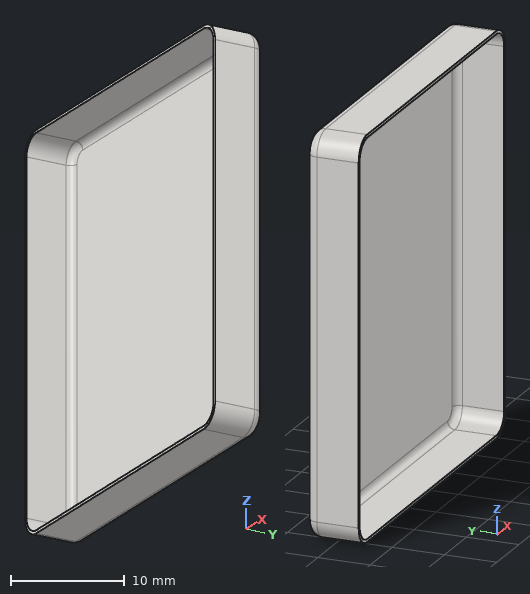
import cadquery as cq

width = 33.3
depth = 5.0
height = 38.15

wall = 0.3
corner_radius = 2.0
floor_edge_radius = 1.0


def rounded_block(inset):
    """Block inset from the outer skin on every side but the open one, its floor edge rounded."""
    block = cq.Workplane("XY").box(width - 2 * inset, depth - inset, height - 2 * inset)
    block = block.translate((0, (depth - inset) / 2, 0))
    block = block.edges("|Y").fillet(corner_radius - inset)
    return block.faces(">Y").edges().fillet(floor_edge_radius - inset)


result = rounded_block(0).cut(rounded_block(wall))